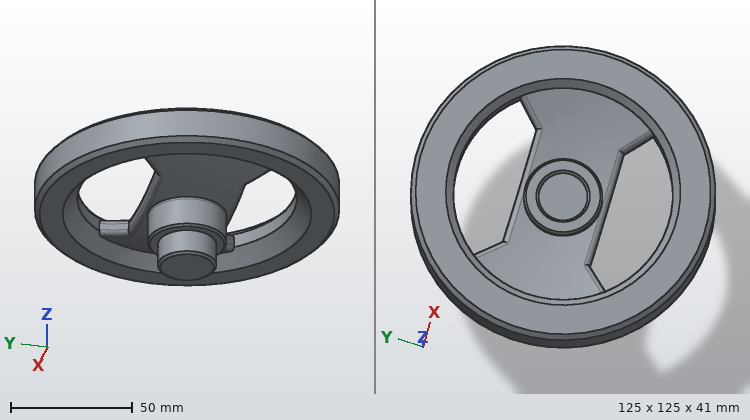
import cadquery as cq
import math

overall_height = 41.0

rim_radius = 62.5
rim_height = 16.0
rim_chamfer = 2.0
bore_radius = 45.0
bore_top_radius = 48.1
bore_top_chamfer = 3.1
bore_flare_height = 7.0
bore_flare = 6.0

hub_radius = 16.1
hub_top_z = rim_height - 6.8
hub_shoulder_z = rim_height - 30.2
hub_edge = 0.9
pin_radius = 12.0
pin_end_z = rim_height - overall_height
pin_chamfer = 1.0
recess_radius = 10.0
recess_depth = 1.0

web_outer_radius = bore_radius + 1.0
web_dish_radius = 140.0
web_axis_z = rim_height - 10.6
web_thickness = 7.2
web_half_width = 18.6
web_straight_half = 25.0
web_edge_fillet = 2.1
web_hub_fillet = 2.0
collar_low_z = -1.8


def revolve(profile):
    """Turn a closed (radius, z) outline about the Z axis."""
    return cq.Workplane("XZ").polyline(profile).close().revolve(360, (0, 0, 0), (0, 1, 0))


def make_rim():
    return revolve([
        (bore_top_radius, rim_height),
        (rim_radius - rim_chamfer, rim_height),
        (rim_radius, rim_height - rim_chamfer),
        (rim_radius, rim_chamfer),
        (rim_radius - rim_chamfer, 0),
        (bore_radius + bore_flare, 0),
        (bore_radius, bore_flare_height),
        (bore_radius, rim_height - bore_top_chamfer),
    ])


def make_hub():
    return revolve([
        (0, hub_top_z - recess_depth),
        (recess_radius, hub_top_z - recess_depth),
        (recess_radius + recess_depth, hub_top_z),
        (hub_radius - hub_edge, hub_top_z),
        (hub_radius, hub_top_z - hub_edge),
        (hub_radius, hub_shoulder_z + hub_edge),
        (hub_radius - hub_edge, hub_shoulder_z),
        (pin_radius, hub_shoulder_z),
        (pin_radius, pin_end_z + pin_chamfer),
        (pin_radius - pin_chamfer, pin_end_z),
        (0, pin_end_z),
    ])


def web_top_z(radius):
    """Height of the spherical upper face of the web at a distance from the axis."""
    return web_axis_z + web_dish_radius - math.sqrt(web_dish_radius ** 2 - radius ** 2)


def make_web():
    """Spherical dish trimmed to a double spoke that widens at 45 degrees towards the rim."""
    middle_radius = web_outer_radius / 2
    outer_z = web_top_z(web_outer_radius)
    middle_z = web_top_z(middle_radius)
    dish = (
        cq.Workplane("XZ")
        .moveTo(0, web_axis_z)
        .threePointArc((middle_radius, middle_z), (web_outer_radius, outer_z))
        .lineTo(web_outer_radius, outer_z - web_thickness)
        .threePointArc((middle_radius, middle_z - web_thickness), (0, web_axis_z - web_thickness))
        .close()
        .revolve(360, (0, 0, 0), (0, 1, 0))
    )
    flare_x = rim_radius
    flare_y = web_half_width + flare_x - web_straight_half
    outline = [
        (-flare_x, -flare_y),
        (-web_straight_half, -web_half_width),
        (web_straight_half, -web_half_width),
        (flare_x, -flare_y),
        (flare_x, flare_y),
        (web_straight_half, web_half_width),
        (-web_straight_half, web_half_width),
        (-flare_x, flare_y),
    ]
    trim = cq.Workplane("XY").polyline(outline).close().extrude(2 * rim_height, both=True)
    web = dish.intersect(trim)
    side_edges = web.edges().filter(is_spoke_edge)
    return web.newObject(side_edges.vals()).fillet(web_edge_fillet)


def is_spoke_edge(edge):
    """Select top and bottom edges along the spoke sides, not upright or rim edges."""
    tolerance = 0.1
    start = edge.startPoint()
    end = edge.endPoint()
    run = math.hypot(start.x - end.x, start.y - end.y)
    middle = edge.positionAt(0.5)
    middle_radius = math.hypot(middle.x, middle.y)
    is_upright = run < tolerance
    on_spoke_side = abs(middle.y) > web_half_width - tolerance
    on_rim = middle_radius > web_outer_radius - tolerance
    return on_spoke_side and not is_upright and not on_rim


def make_hub_collar():
    """Concave flare that blends the underside of the web into the hub."""
    collar_top_z = collar_low_z + web_hub_fillet
    outer_radius = hub_radius + web_hub_fillet
    sag = web_hub_fillet * (1 - math.sqrt(0.5))
    return (
        cq.Workplane("XZ")
        .moveTo(0, collar_low_z)
        .lineTo(hub_radius, collar_low_z)
        .threePointArc((hub_radius + sag, collar_top_z - sag), (outer_radius, collar_top_z))
        .lineTo(0, collar_top_z)
        .close()
        .revolve(360, (0, 0, 0), (0, 1, 0))
    )


result = make_web().union(make_hub()).union(make_hub_collar()).union(make_rim())